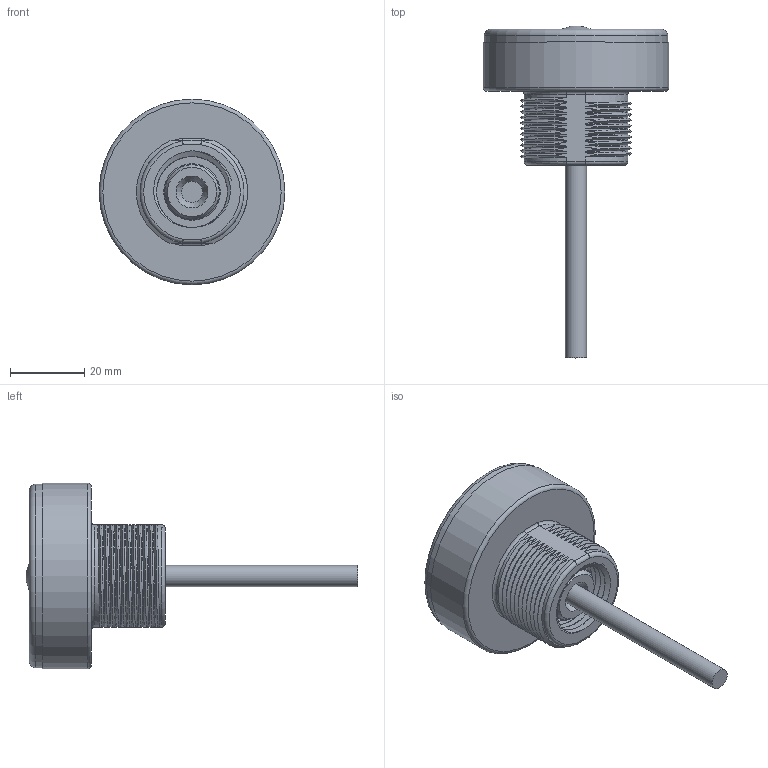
import cadquery as cq
import math


head_radius = 25.0
head_thickness = 13.25
head_edge_fillet = 1.0
cap_radius = 24.7
cap_thickness = 3.45
cap_edge_fillet = 1.6
dome_radius = 4.1
dome_edge_slope = 0.45
overall_length = 89.4
dome_height = 0.9

neck_radius = 14.0
neck_length = 19.9
neck_end_fillet = 1.0
neck_root_fillet = 0.75
flat_width = 5.0
flat_distance = math.sqrt(neck_radius ** 2 - (flat_width / 2) ** 2)

thread_crest_radius = 15.0
thread_pitch = 1.5
thread_turns = 10.5
thread_start = 2.15
thread_base_width = 1.1

bore_radius = 9.55
bore_depth = 8.0
groove_root_radius = 11.1
groove_pitch = 1.75
crest_land = 0.06
groove_width = groove_pitch - crest_land
groove_turns = 5

plug_face_radius = 6.6
plug_nose_radius = 7.35
plug_nose_length = 1.2
plug_radius = 7.6
plug_recess = 2.5
mouth_radius = 4.3
cable_radius = 2.85
mouth_depth = 2.5

join_overlap = 0.1
cap_face = -(head_thickness + cap_thickness)
cable_end = overall_length + cap_face - dome_height
bore_floor = neck_length - bore_depth
plug_face = neck_length - plug_recess


def helical_tooth(base_radius, tip_radius, base_width, pitch, turns, start):
    """Triangular tooth swept along a right-hand helix that starts on the +Y side."""
    overlap = math.copysign(join_overlap, tip_radius - base_radius)
    inner = base_radius - overlap
    half_base = base_width / 2 * (tip_radius - inner) / (tip_radius - base_radius)
    path = cq.Wire.makeHelix(pitch, turns * pitch, base_radius)
    tooth = (
        cq.Workplane("XZ")
        .polyline([(inner, -half_base), (tip_radius, 0), (inner, half_base)])
        .close()
        .sweep(cq.Workplane(obj=path), isFrenet=True)
    )
    return tooth.rotate((0, 0, 0), (0, 0, 1), 90).translate((0, 0, start))


def make_head():
    head = cq.Workplane("XY").circle(head_radius).extrude(-head_thickness)
    head = head.faces(">Z").edges().fillet(head_edge_fillet)
    cap = cq.Workplane("XY").workplane(offset=-head_thickness).circle(cap_radius).extrude(-cap_thickness)
    cap = cap.faces("<Z").edges().fillet(cap_edge_fillet)
    dome = (
        cq.Workplane("XZ")
        .moveTo(0, cap_face)
        .lineTo(dome_radius, cap_face)
        .spline([(0, cap_face - dome_height)], tangents=[(-1, -dome_edge_slope), (-1, 0)], includeCurrent=True)
        .close()
        .revolve(360, (0, 0), (0, 1))
    )
    return head.union(cap).union(dome)


def neck_flats():
    """Slab between the two flats, wide enough to hold the whole thread."""
    return cq.Workplane("XY").rect(2 * head_radius, 2 * flat_distance).extrude(neck_length)


def add_neck(body):
    neck = cq.Workplane("XY").circle(neck_radius).extrude(neck_length).intersect(neck_flats())
    neck = neck.faces(">Z").edges().fillet(neck_end_fillet)
    body = body.union(neck)
    root = cq.selectors.BoxSelector(
        (-thread_crest_radius, -thread_crest_radius, -join_overlap),
        (thread_crest_radius, thread_crest_radius, join_overlap),
    )
    return body.edges(root).fillet(neck_root_fillet)


def add_external_thread(body):
    ridge = helical_tooth(
        neck_radius, thread_crest_radius, thread_base_width, thread_pitch, thread_turns, thread_start
    )
    return body.union(ridge.intersect(neck_flats()))


def cut_bore(body):
    bore = cq.Workplane("XY").workplane(offset=bore_floor).circle(bore_radius).extrude(bore_depth)
    groove = helical_tooth(
        bore_radius,
        groove_root_radius,
        groove_width,
        groove_pitch,
        groove_turns,
        neck_length + groove_pitch - groove_turns * groove_pitch,
    )
    return body.cut(bore).cut(groove)


def add_plug(body):
    nose_base = plug_face - plug_nose_length
    shoulder_base = nose_base - (plug_radius - plug_nose_radius)
    plug = (
        cq.Workplane("XZ")
        .moveTo(0, bore_floor)
        .lineTo(plug_radius, bore_floor)
        .lineTo(plug_radius, shoulder_base)
        .lineTo(plug_nose_radius, nose_base)
        .lineTo(plug_face_radius, plug_face)
        .lineTo(0, plug_face)
        .close()
        .revolve(360, (0, 0), (0, 1))
    )
    mouth = cq.Workplane(
        obj=cq.Solid.makeCone(cable_radius, mouth_radius, mouth_depth, cq.Vector(0, 0, plug_face - mouth_depth))
    )
    return body.union(plug).cut(mouth)


def add_cable(body):
    cable = cq.Workplane("XY").workplane(offset=bore_floor).circle(cable_radius).extrude(cable_end - bore_floor)
    return body.union(cable)


part = make_head()
part = add_neck(part)
part = add_external_thread(part)
part = cut_bore(part)
part = add_plug(part)
part = add_cable(part)

result = part.rotate((0, 0, 0), (1, 0, 0), 90)